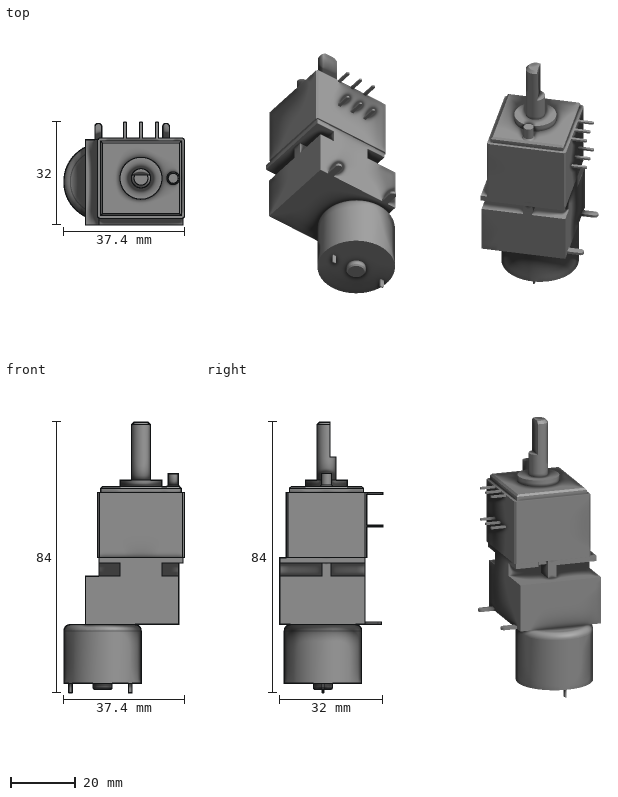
import cadquery as cq


overall_height = 84.0

gearbox_top = 14.95
plate_bottom = 19.0
case_bottom = 20.75
case_top = 40.9
cover_top = 42.75
bushing_top = 44.8
shaft_top = 62.75

case_length = 27.05
case_width = 25.0
case_corner_chamfer = 0.6
cover_length = 25.0
cover_width = 23.0
cover_chamfer = 0.6

bushing_diameter = 13.0
shaft_diameter = 6.0
shaft_tip_chamfer = 0.8
flat_bottom = 51.9
flat_offset = 1.1

pin_diameter = 3.1
pin_x = 10.0
pin_top = 46.8
pin_foot = 0.4

gearbox_left = -17.2
gearbox_right = 11.8
body_front = -14.5
body_back = 12.0
plate_length = 26.0

wide_bar_length = 12.9
narrow_bar_width = 2.85

notch_front = narrow_bar_width / 2
notch_back = 4.5
notch_depth = 2.0
lug_gap = 0.25
lug_setback = 0.5
lug_height = 1.3

terminal_tip_y = 17.5
terminal_width = 1.0
terminal_thickness = 0.6
terminal_pitch = 4.95
terminal_row_spacing = 10.1
terminal_row_tops = (case_top, case_top - terminal_row_spacing)

tab_tip_y = 17.05
tab_width = 2.2
tab_thickness = 0.8
tab_spacing = 21.0

motor_diameter = 24.0
motor_x = -11.9
motor_y = -1.1
motor_length = 18.2
motor_fillet = 2.0
bearing_diameter = 6.0
bearing_length = 1.9
bearing_chamfer = 0.4
motor_pin_spacing = 18.5
motor_pin_centre_x = -12.6
motor_pin_width = 1.2
motor_pin_thickness = 0.5
motor_pin_bottom = shaft_top - overall_height
motor_pin_chamfer = 0.2

overlap = 0.4


def block(x_min, x_max, y_min, y_max, z_min, z_max):
    """Box between the given limits."""
    box = cq.Workplane("XY").box(x_max - x_min, y_max - y_min, z_max - z_min, centered=False)
    return box.translate((x_min, y_min, z_min))


def cylinder(x, y, diameter, z_min, z_max):
    """Upright cylinder between two heights."""
    base = cq.Workplane("XY").workplane(offset=z_min).center(x, y)
    return base.circle(diameter / 2).extrude(z_max - z_min)


def rounded_tongue(x, y_root, y_tip, width, z_min, z_max):
    """Flat tongue along +Y with a full-round tip."""
    half = width / 2
    outline = (
        cq.Workplane("XY")
        .workplane(offset=z_min)
        .moveTo(x - half, y_root)
        .lineTo(x - half, y_tip - half)
        .threePointArc((x, y_tip), (x + half, y_tip - half))
        .lineTo(x + half, y_root)
        .close()
    )
    return outline.extrude(z_max - z_min)


def make_case():
    """Case with chamfered upright edges and a bevelled cover."""
    case = block(
        -case_length / 2, case_length / 2, -case_width / 2, case_width / 2, case_bottom, case_top
    )
    case = case.edges("|Z").chamfer(case_corner_chamfer)
    cover = block(
        -cover_length / 2, cover_length / 2, -cover_width / 2, cover_width / 2, case_top, cover_top
    )
    return case.union(cover.faces(">Z").edges().chamfer(cover_chamfer))


def make_shaft():
    """Bushing and D-shaped shaft with a bevelled tip."""
    shaft = cylinder(0, 0, shaft_diameter, cover_top, shaft_top)
    shaft = shaft.faces(">Z").edges().chamfer(shaft_tip_chamfer)
    flat = block(
        -shaft_diameter, shaft_diameter, flat_offset, shaft_diameter, flat_bottom, shaft_top
    )
    bushing = cylinder(0, 0, bushing_diameter, cover_top, bushing_top)
    return shaft.cut(flat).union(bushing)


def make_locating_pin():
    """Pin standing on a conical foot."""
    foot_diameter = pin_diameter + 2 * pin_foot
    foot = cylinder(pin_x, 0, foot_diameter, cover_top - overlap, cover_top + pin_foot)
    foot = foot.faces(">Z").edges().chamfer(pin_foot)
    return foot.union(cylinder(pin_x, 0, pin_diameter, cover_top, pin_top))


def make_plate():
    """Adapter plate with an edge notch that holds a lug of the case."""
    left = -plate_length / 2
    plate = block(left, -left, body_front, body_back, plate_bottom, case_bottom)
    notch = block(left, left + notch_depth, notch_front, notch_back, plate_bottom, case_bottom)
    lug = block(
        left + lug_setback,
        left + notch_depth,
        notch_front + lug_gap,
        notch_back - lug_gap,
        case_bottom - lug_height,
        case_bottom,
    )
    return plate.cut(notch).union(lug)


def make_gearbox():
    """Gearbox block carrying two crossed spacer bars."""
    gearbox = block(gearbox_left, gearbox_right, body_front, body_back, 0, gearbox_top)
    wide_bar = block(
        -wide_bar_length / 2, wide_bar_length / 2, body_front, body_back, gearbox_top, plate_bottom
    )
    narrow_bar = block(
        -plate_length / 2,
        gearbox_right,
        -narrow_bar_width / 2,
        narrow_bar_width / 2,
        gearbox_top,
        plate_bottom,
    )
    return gearbox.union(wide_bar).union(narrow_bar)


def make_terminals():
    """Two rows of three terminals on the back of the case."""
    root = case_width / 2 - overlap
    terminals = cq.Workplane("XY")
    for top in terminal_row_tops:
        for step in (-1, 0, 1):
            terminals = terminals.union(
                rounded_tongue(
                    step * terminal_pitch,
                    root,
                    terminal_tip_y,
                    terminal_width,
                    top - terminal_thickness,
                    top,
                )
            )
    return terminals


def make_tabs():
    """Pair of mounting tabs at the bottom back edge of the gearbox."""
    middle = (gearbox_left + gearbox_right) / 2
    tabs = cq.Workplane("XY")
    for side in (-1, 1):
        x = middle + side * tab_spacing / 2
        tabs = tabs.union(
            rounded_tongue(x, body_back - overlap, tab_tip_y, tab_width, 0, tab_thickness)
        )
    return tabs


def make_motor():
    """Motor can with a rounded top, lower bearing and two flat pins."""
    motor = cylinder(motor_x, motor_y, motor_diameter, -motor_length, 0)
    motor = motor.faces(">Z").edges().fillet(motor_fillet)

    bearing = cylinder(
        motor_x, motor_y, bearing_diameter, -motor_length - bearing_length, -motor_length
    )
    motor = motor.union(bearing.faces("<Z").edges().chamfer(bearing_chamfer))

    for side in (-1, 1):
        x = motor_pin_centre_x + side * motor_pin_spacing / 2
        pin = block(
            x - motor_pin_width / 2,
            x + motor_pin_width / 2,
            motor_y - motor_pin_thickness / 2,
            motor_y + motor_pin_thickness / 2,
            motor_pin_bottom,
            -motor_length + overlap,
        )
        motor = motor.union(pin.faces("<Z").edges().chamfer(motor_pin_chamfer))
    return motor


result = (
    make_case()
    .union(make_shaft())
    .union(make_locating_pin())
    .union(make_plate())
    .union(make_gearbox())
    .union(make_terminals())
    .union(make_tabs())
    .union(make_motor())
)